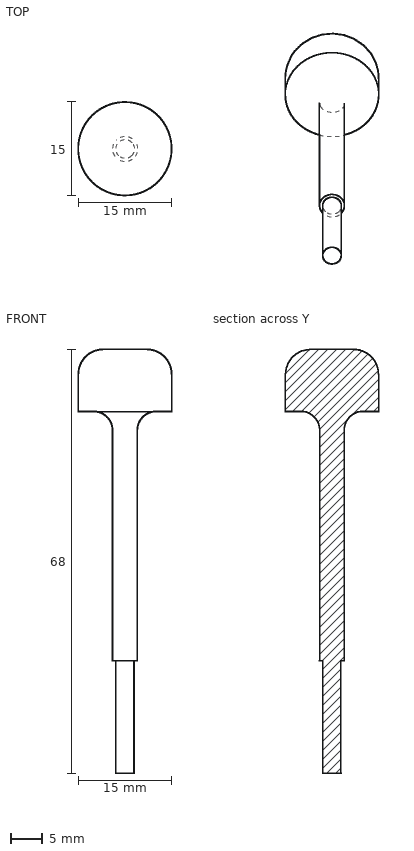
import cadquery as cq

total_length = 68.0
head_diameter = 15.0
head_height = 10.0
head_rounding = 4.0
shaft_diameter = 4.0
neck_radius = 3.0
pin_diameter = 3.0
pin_length = 18.0

head_bottom = total_length - head_height
shaft_length = head_bottom - pin_length


def make_pin():
    return cq.Workplane("XY").circle(pin_diameter / 2).extrude(pin_length)


def make_shaft():
    return (
        cq.Workplane("XY")
        .workplane(offset=pin_length)
        .circle(shaft_diameter / 2)
        .extrude(shaft_length)
    )


def make_head():
    return (
        cq.Workplane("XY")
        .workplane(offset=head_bottom)
        .circle(head_diameter / 2)
        .extrude(head_height)
        .faces(">Z")
        .edges()
        .fillet(head_rounding)
    )


def make_neck():
    """Concave flare that blends the shaft into the underside of the head."""
    shaft_radius = shaft_diameter / 2
    flare_radius = shaft_radius + neck_radius
    neck_bottom = head_bottom - neck_radius
    return (
        cq.Workplane("XZ")
        .moveTo(0, neck_bottom)
        .lineTo(shaft_radius, neck_bottom)
        .radiusArc((flare_radius, head_bottom), neck_radius)
        .lineTo(0, head_bottom)
        .close()
        .revolve(360, (0, 0, 0), (0, 1, 0))
    )


result = make_pin().union(make_shaft()).union(make_neck()).union(make_head())